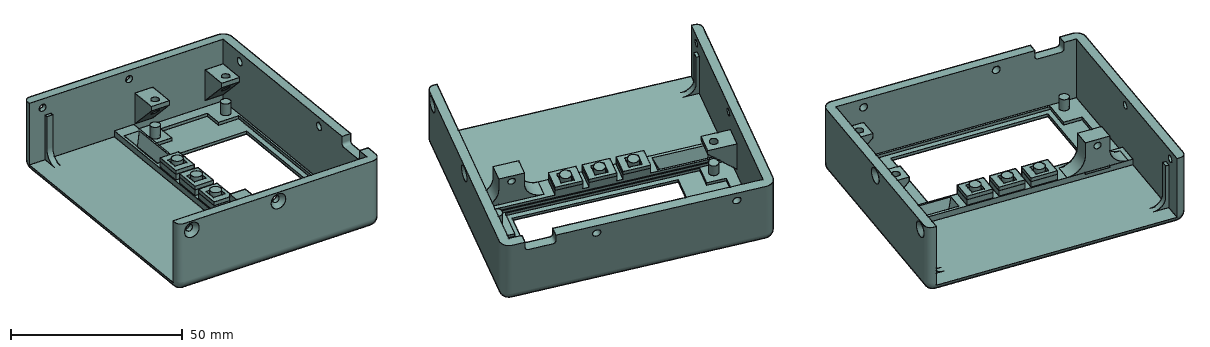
import cadquery as cq
import math

LENGTH = 84.0
WIDTH = 70.0
HEIGHT = 23.0
WALL = 3.0
FLOOR = 2.0
REAR_RADIUS = 3.0
FRONT_RADIUS = 2.0
INNER_RIGHT = LENGTH - WALL
INNER_REAR = WIDTH - WALL

RECESS_DEPTH = 1.0
WINDOW = (19.65, 70.6, 38.4, 64.5)
RECESS = (12.5, 72.15, 36.8, 66.3)
RECESS_LEFT_TAB = (6.5, RECESS[0], 43.2, 59.3)
RECESS_RIGHT_TAB = (RECESS[1], 78.2, 45.7, 57.45)

PEG_DIAMETER = 3.1
PEG_TOP = 6.0
PEG_X = (9.15, 75.5)
PEG_Y = (39.6, 63.9)
GUSSET_REACH = 9.0
GUSSET_LIP = 1.5
GUSSET_WIDTH = 6.2
GUSSET_TOP = 14.6
GUSSET_HOLE = 2.5

SCREW_Z = 20.0
REAR_HOLE_DIAMETER = 2.5
REAR_HOLE_X = (12.0, 55.0)
SIDE_HOLE_DIAMETER = 2.3
SIDE_HOLE_Y = (4.6, 34.5)
COUNTERSINK_DIAMETER = 5.0
COUNTERSINK_HALF_ANGLE = 45
NOTCH_LEFT = 67.5
NOTCH_WIDTH = 9.4
NOTCH_DEPTH = 3.3
NOTCH_RADIUS = 1.0

RIB_THICKNESS = 1.0
RIB_WIDTH = 2.0
RIB_Y = 5.5
RIB_TOP = 17.2
RIB_FLARE = 4.0

STRIP_FRONT = 29.4
STRIP_REAR = 36.1
STRIP_TOP = 2 * FLOOR
LEDGE_REAR = 36.45
LEDGE_TOP = 1.5 * FLOOR
BOX_LENGTH = 8.5
BOX_WIDTH = 6.4
BOX_TOP = 6.0
BUTTON_PITCH = 10.4
BUTTON_X = [LENGTH / 2 + i * BUTTON_PITCH for i in (-1, 0, 1)]
BUTTON_Y = 32.9

SLOT_LENGTH = 18.15
SLOT_WIDTH = 5.2
SLOT_INSET = 1.85
SLOT_X = 16.0

LID_TOP = 7.2
LID_OPENING = 4.0
PLUNGER_DIAMETER = 3.5
PLUNGER_TOP = 8.2

BRACKET_X = 69.55
BRACKET_WIDTH = 7.9
BRACKET_DEPTH = 5.4
BRACKET_TOP = GUSSET_TOP
BRACKET_FLARE = 6.0
BRACKET_HOLE = 2.3
BRACKET_HOLE_Z = 12.4
PAD_THICKNESS = 0.7


def block(x_min, x_max, y_min, y_max, z_min, z_max):
    """Box given by its limits along the three axes."""
    size = (x_max - x_min, y_max - y_min, z_max - z_min)
    return cq.Workplane("XY").box(*size, centered=False).translate((x_min, y_min, z_min))


def cylinder(diameter, x, y, z_min, z_max):
    """Upright cylinder."""
    base = cq.Workplane("XY", origin=(x, y, z_min))
    return base.circle(diameter / 2).extrude(z_max - z_min)


def mirror_across(body):
    """Copy of a body on the other side of the housing's middle plane."""
    return body.mirror("YZ", (LENGTH / 2, 0, 0))


def make_shell():
    """Rounded block hollowed from the top and through the front."""
    outer = block(0, LENGTH, 0, WIDTH, 0, HEIGHT)
    outer = outer.edges("|Z and >Y").fillet(REAR_RADIUS)
    outer = outer.edges("<Z and (not <Y)").fillet(REAR_RADIUS)
    outer = outer.edges("<Y and (not >Z)").fillet(FRONT_RADIUS)
    return outer.cut(block(WALL, INNER_RIGHT, 0, INNER_REAR, FLOOR, HEIGHT))


def make_display_cut():
    """Window through the floor inside a shallow recess with a tab on each side."""
    cut = block(*WINDOW, 0, FLOOR)
    for area in (RECESS, RECESS_LEFT_TAB, RECESS_RIGHT_TAB):
        cut = cut.union(block(*area, FLOOR - RECESS_DEPTH, FLOOR))
    return cut


def make_gusset(y_rear):
    """Left wall bracket with a sloping underside and a vertical screw hole."""
    tip = WALL + GUSSET_REACH
    lip_bottom = GUSSET_TOP - GUSSET_LIP
    profile = (
        cq.Workplane("XZ", origin=(0, y_rear, 0))
        .moveTo(WALL, GUSSET_TOP)
        .lineTo(tip, GUSSET_TOP)
        .lineTo(tip, lip_bottom)
        .lineTo(WALL, lip_bottom - GUSSET_REACH)
        .close()
    )
    return profile.extrude(GUSSET_WIDTH)


def make_rib():
    """Left rib: a thin upright with a concave flare onto the floor."""
    face = WALL + RIB_THICKNESS
    profile = (
        cq.Workplane("XZ", origin=(0, RIB_Y, 0))
        .moveTo(WALL, FLOOR)
        .lineTo(WALL, RIB_TOP)
        .lineTo(face, RIB_TOP)
        .lineTo(face, FLOOR + RIB_FLARE)
        .radiusArc((face + RIB_FLARE, FLOOR), -RIB_FLARE)
        .close()
    )
    return profile.extrude(-RIB_WIDTH)


def make_notch():
    """Cable notch in the rear rim, rounded at its two lower corners."""
    right = NOTCH_LEFT + NOTCH_WIDTH
    notch = block(NOTCH_LEFT, right, INNER_REAR, WIDTH, HEIGHT - NOTCH_DEPTH, HEIGHT)
    return notch.edges("|Y and <Z").fillet(NOTCH_RADIUS)


def make_side_holes():
    """Screw holes of the left wall, countersunk from outside."""
    centres = [(y, SCREW_Z) for y in SIDE_HOLE_Y]
    outside = cq.Workplane("YZ").pushPoints(centres)
    bores = outside.circle(SIDE_HOLE_DIAMETER / 2).extrude(WALL)
    mouth = COUNTERSINK_DIAMETER / 2
    cone_height = mouth / math.tan(math.radians(COUNTERSINK_HALF_ANGLE))
    cones = outside.circle(mouth).extrude(cone_height, taper=COUNTERSINK_HALF_ANGLE)
    return bores.union(cones)


def make_rear_holes():
    """Plain screw holes of the rear wall."""
    wall_face = cq.Workplane("XZ", origin=(0, INNER_REAR, 0))
    centres = [(x, SCREW_Z) for x in REAR_HOLE_X]
    return wall_face.pushPoints(centres).circle(REAR_HOLE_DIAMETER / 2).extrude(-WALL)


def make_slot():
    """Light slot that narrows from the strip's top to the underside."""
    top = cq.Workplane("XY", origin=(SLOT_X, BUTTON_Y, STRIP_TOP)).rect(SLOT_LENGTH, SLOT_WIDTH)
    bottom_length = SLOT_LENGTH - 2 * SLOT_INSET
    bottom_width = SLOT_WIDTH - 2 * SLOT_INSET
    bottom = top.workplane(offset=-STRIP_TOP).rect(bottom_length, bottom_width)
    return bottom.loft(ruled=True)


def make_strip():
    """Raised strip between the side walls, with its rear ledge and button boxes."""
    strip = block(WALL, INNER_RIGHT, STRIP_FRONT, STRIP_REAR, FLOOR, STRIP_TOP)
    strip = strip.union(block(WALL, INNER_RIGHT, STRIP_REAR, LEDGE_REAR, FLOOR, LEDGE_TOP))
    for x in BUTTON_X:
        box = cq.Workplane("XY", origin=(x, BUTTON_Y, STRIP_TOP)).rect(BOX_LENGTH, BOX_WIDTH)
        strip = strip.union(box.extrude(BOX_TOP - STRIP_TOP))
    return strip


def make_pad():
    """Flat pad under the bracket's post, flush with the strip's top and front."""
    left = BRACKET_X - BRACKET_WIDTH / 2
    right = BRACKET_X + BRACKET_WIDTH / 2
    rear = STRIP_FRONT + BRACKET_DEPTH
    return block(left, right, STRIP_FRONT, rear, STRIP_TOP - PAD_THICKNESS, STRIP_TOP)


def make_housing():
    """Shell with its pegs, gussets, ribs, strip and openings."""
    housing = make_shell().union(make_strip())
    for x in PEG_X:
        for y in PEG_Y:
            housing = housing.union(cylinder(PEG_DIAMETER, x, y, FLOOR, PEG_TOP))
    for y_rear in (INNER_REAR, LEDGE_REAR + GUSSET_WIDTH):
        housing = housing.union(make_gusset(y_rear))
    rib = make_rib()
    housing = housing.union(rib).union(mirror_across(rib))

    for y in PEG_Y:
        housing = housing.cut(cylinder(GUSSET_HOLE, PEG_X[0], y, PEG_TOP, GUSSET_TOP))
    side_holes = make_side_holes()
    housing = housing.cut(side_holes).cut(mirror_across(side_holes)).cut(make_rear_holes())
    housing = housing.cut(make_notch()).cut(make_display_cut()).cut(make_slot())
    return housing.cut(make_pad())


def make_lid(x):
    """Cover of a button box, with a square opening."""
    base = cq.Workplane("XY", origin=(x, BUTTON_Y, BOX_TOP))
    return base.rect(BOX_LENGTH, BOX_WIDTH).rect(LID_OPENING, LID_OPENING).extrude(LID_TOP - BOX_TOP)


def make_plunger(x):
    """Round button stem standing in a lid's opening."""
    return cylinder(PLUNGER_DIAMETER, x, BUTTON_Y, BOX_TOP, PLUNGER_TOP)


def make_bracket():
    """Post with a concave flare down each side and a hole from front to rear."""
    half = BRACKET_WIDTH / 2
    foot = half + BRACKET_FLARE
    flare_top = STRIP_TOP + BRACKET_FLARE
    profile = (
        cq.Workplane("XZ", origin=(BRACKET_X, STRIP_FRONT, 0))
        .moveTo(-foot, STRIP_TOP)
        .radiusArc((-half, flare_top), -BRACKET_FLARE)
        .lineTo(-half, BRACKET_TOP)
        .lineTo(half, BRACKET_TOP)
        .lineTo(half, flare_top)
        .radiusArc((foot, STRIP_TOP), -BRACKET_FLARE)
        .close()
    )
    hole = cq.Workplane("XZ", origin=(BRACKET_X, STRIP_FRONT, BRACKET_HOLE_Z)).circle(BRACKET_HOLE / 2)
    return profile.extrude(-BRACKET_DEPTH).cut(hole.extrude(-BRACKET_DEPTH))


housing = make_housing()
pad = make_pad()
bracket = make_bracket()
lids = [make_lid(x) for x in BUTTON_X]
plungers = [make_plunger(x) for x in BUTTON_X]

result = cq.Compound.makeCompound(
    [
        housing.val(),
        bracket.val(),
        pad.val(),
        *[lid.val() for lid in lids],
        *[plunger.val() for plunger in plungers],
    ]
)